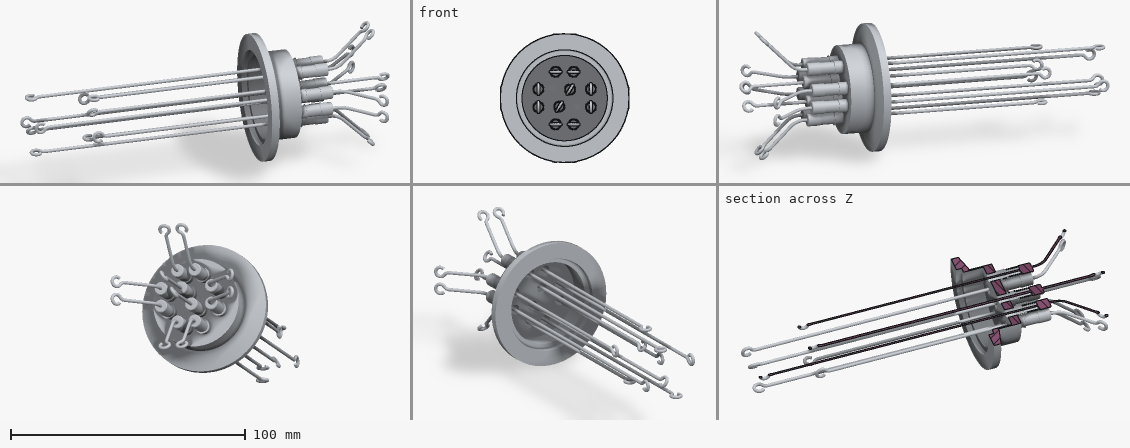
import cadquery as cq
import math


FLANGE_RADIUS = 27.5
RIM_THICKNESS = 3.4
FLANGE_HEIGHT = 5.3
CONE_TOP_RADIUS = 19.8
RECESS_RADIUS = 20.6
RECESS_DEPTH = 2.4

CUP_RADIUS = 19.0
BORE_RADIUS = 18.2
CUP_FLOOR = 11.3
CUP_BACK = 15.5

SLEEVE_DIAMETER = 5.6
SLEEVE_RADIUS = SLEEVE_DIAMETER / 2
SLEEVE_BORE_RADIUS = 2.2
COLLAR_RADIUS = 3.2
COLLAR_THICKNESS = 0.2
INSULATOR_RADIUS = 2.5
INSULATOR_BORE_RADIUS = 1.9
INSULATOR_START = 19.3
INSULATOR_END = 25.5
CAP_END = 31.0
CAP_CHAMFER = 0.3

WIRE_RADIUS = 0.72
EYE_RADIUS = 2.0
HOOK_LENGTH = 3.8
EYE_END_ANGLE = 45
LONG_REACH = 100.6
SHORT_REACH = 75.0
STRAIGHT_BACK_REACH = 59.1
BEND_START = 32.3
BEND_RADIUS = 8.5
BEND_ANGLE = 45
BENT_ARM_LENGTH = 12.5

OUTER_HALF_SPACING = 3.8
OUTER_DISTANCE = 11.2
OUTER_ANGLES = (0, 90, 180, 270)
INNER_HALF_SPACING = 4.3
INNER_ANGLE = -58

ORIGIN = cq.Vector(0, 0, 0)
Y_AXIS = cq.Vector(0, 1, 0)
EYE_TIP = HOOK_LENGTH + EYE_RADIUS + WIRE_RADIUS


def cylinder(radius, start, end):
    """Solid cylinder on the Y axis between two positions along it."""
    return cq.Workplane("XZ", origin=(0, start, 0)).circle(radius).extrude(start - end)


def make_flange():
    outline = [
        (RECESS_RADIUS, 0),
        (FLANGE_RADIUS, 0),
        (FLANGE_RADIUS, RIM_THICKNESS),
        (CONE_TOP_RADIUS, FLANGE_HEIGHT),
        (BORE_RADIUS, FLANGE_HEIGHT),
        (BORE_RADIUS, RECESS_DEPTH),
        (RECESS_RADIUS, RECESS_DEPTH),
    ]
    return cq.Workplane("XY").polyline(outline).close().revolve(360, (0, 0), (0, 1))


def hook_edges(start, forward, side):
    """Hook centreline: a curve off the wire axis towards `side`, then an open eye centred on the axis."""
    center = start + forward * HOOK_LENGTH
    neck_radius = (HOOK_LENGTH**2 - EYE_RADIUS**2) / (2 * EYE_RADIUS)
    neck_center = start + side * neck_radius
    neck_angle = math.atan2(HOOK_LENGTH, neck_radius)
    neck_middle = neck_center + (
        forward * math.sin(neck_angle / 2) - side * math.cos(neck_angle / 2)
    ) * neck_radius

    def on_eye(angle):
        return center + (side * math.cos(angle) - forward * math.sin(angle)) * EYE_RADIUS

    eye_end = -math.pi - math.radians(EYE_END_ANGLE)
    eye_middle = (neck_angle + eye_end) / 2
    neck_end = on_eye(neck_angle)
    neck = cq.Edge.makeThreePointArc(start, neck_middle, neck_end)
    eye = cq.Edge.makeThreePointArc(neck_end, on_eye(eye_middle), on_eye(eye_end))
    return [neck, eye]


def sweep_wire(start, direction, edges):
    profile = cq.Workplane(cq.Plane(start, normal=direction)).circle(WIRE_RADIUS)
    return profile.sweep(cq.Workplane(cq.Wire.assembleEdges(edges)))


def make_wire(front_reach, hook_side, bent):
    """Wire on the Y axis, hooked towards +X or -X at both ends; the back arm can bend towards +Z."""
    side = cq.Vector(hook_side, 0, 0)
    front_start = cq.Vector(0, EYE_TIP - front_reach, 0)
    front_hook = sweep_wire(front_start, -Y_AXIS, hook_edges(front_start, -Y_AXIS, side))

    if bent:
        angle = math.radians(BEND_ANGLE)
        rod_end = cq.Vector(0, BEND_START, 0)
        arm_direction = cq.Vector(0, math.cos(angle), math.sin(angle))
        bend_end = rod_end + cq.Vector(0, math.sin(angle), 1 - math.cos(angle)) * BEND_RADIUS
        arm_end = bend_end + arm_direction * BENT_ARM_LENGTH
        bend = sweep_wire(rod_end, Y_AXIS, [
            cq.Edge.makeTangentArc(rod_end, Y_AXIS, bend_end),
            cq.Edge.makeLine(bend_end, arm_end),
        ])
        back_hook = sweep_wire(arm_end, arm_direction, hook_edges(arm_end, arm_direction, side))
        back = bend.union(back_hook)
    else:
        rod_end = cq.Vector(0, STRAIGHT_BACK_REACH - EYE_TIP, 0)
        back = sweep_wire(rod_end, Y_AXIS, hook_edges(rod_end, Y_AXIS, side))

    rod = cylinder(WIRE_RADIUS, front_start.y, rod_end.y)
    return rod.union(front_hook).union(back)


def make_conductor(front_reach, hook_side, bent):
    """Wire together with the cap that holds it on the insulator."""
    cap = cylinder(SLEEVE_RADIUS, INSULATOR_END, CAP_END).faces(">Y").chamfer(CAP_CHAMFER)
    return cap.union(make_wire(front_reach, hook_side, bent))


def make_sleeve():
    """Sleeve, collar and insulator, without their bores."""
    sleeve = cylinder(SLEEVE_RADIUS, CUP_FLOOR, INSULATOR_START)
    collar = cylinder(COLLAR_RADIUS, INSULATOR_START - COLLAR_THICKNESS, INSULATOR_START)
    insulator = cylinder(INSULATOR_RADIUS, INSULATOR_START, INSULATOR_END)
    return sleeve.union(collar).union(insulator)


def make_bore():
    """Stepped hole through the cup floor, sleeve and insulator, wide enough to clear the wire."""
    sleeve_bore = cylinder(SLEEVE_BORE_RADIUS, CUP_FLOOR, INSULATOR_START)
    insulator_bore = cylinder(INSULATOR_BORE_RADIUS, INSULATOR_START, INSULATOR_END)
    return sleeve_bore.union(insulator_bore)


def place(body, x, distance, angle):
    """Move a body from the Y axis to one side of its pair, then turn the pair about the main axis."""
    return body.translate((x, 0, distance)).rotate(ORIGIN, Y_AXIS, angle)


def make_header(pairs):
    header = cylinder(CUP_RADIUS, FLANGE_HEIGHT, CUP_BACK).cut(
        cylinder(BORE_RADIUS, FLANGE_HEIGHT, CUP_FLOOR)
    )
    sleeve = make_sleeve()
    bore = make_bore()
    for half_spacing, distance, angle, bent in pairs:
        short_conductor = make_conductor(SHORT_REACH, -1, bent)
        for x in (-half_spacing, half_spacing):
            header = header.union(place(sleeve, x, distance, angle))
            header = header.cut(place(bore, x, distance, angle))
        header = header.union(place(short_conductor, half_spacing, distance, angle))
    return header


def make_long_conductors(pairs):
    conductors = []
    for half_spacing, distance, angle, bent in pairs:
        conductor = make_conductor(LONG_REACH, 1, bent)
        conductors.append(place(conductor, -half_spacing, distance, angle))
    return conductors


outer_pairs = [(OUTER_HALF_SPACING, OUTER_DISTANCE, angle, True) for angle in OUTER_ANGLES]
inner_pair = (INNER_HALF_SPACING, 0, INNER_ANGLE, False)
conductor_pairs = outer_pairs + [inner_pair]

flange = make_flange()
header = make_header(conductor_pairs)
long_conductors = make_long_conductors(conductor_pairs)

result = cq.Compound.makeCompound(
    [flange.val(), header.val(), *[conductor.val() for conductor in long_conductors]]
)